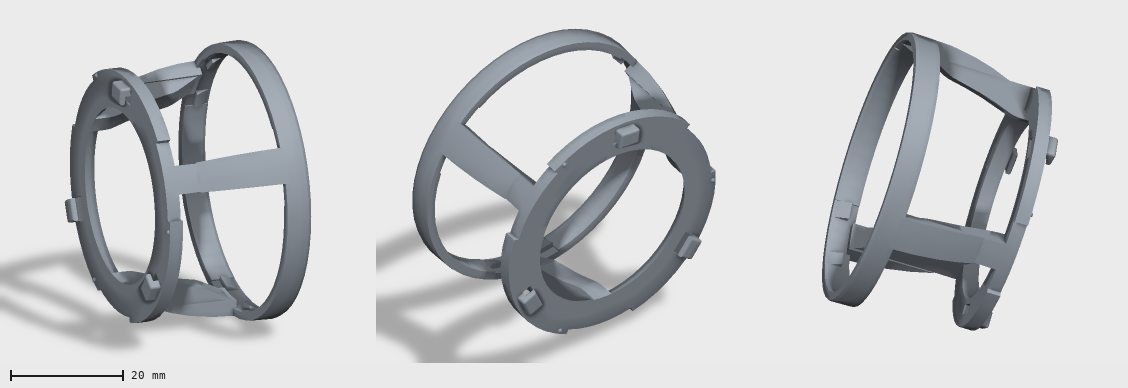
import cadquery as cq
import math

PLATE_BACK = 2.5
RING_FRONT = 21.75
RING_BACK = 26.3
HOOK_FRONT = -1.95

PLATE_RADIUS = 22.65
BORE_RADIUS = 15.85
BORE_FLARE = 1.6
NOTCH_RADIUS = 21.65
NOTCH_HALF_ANGLE = 18.8

RING_RADIUS = 24.9
RING_FRONT_RADIUS = 24.7
RING_STEP_RADIUS = 24.8
RELIEF_RADIUS = 23.35
RING_BORE_RADIUS = 23.05
RING_STEP_DEPTH = 0.7
RING_EDGE_DEPTH = 0.55
RING_EDGE_DROP = 0.2

BLOCK_RADIUS = 22.25
BLOCK_FRONT = RING_FRONT + 1.55
BLOCK_BACK = 25.9
BLOCK_START_ANGLE = 9.6
BLOCK_END_ANGLE = 17.5

LEG_HALF_ANGLE_PLATE = 7.0
LEG_HALF_ANGLE_RING = 7.5
RIB_HALF_ANGLE_RING = 6.0
LEG_BEND = 6.55
SHELL_INNER_RADIUS_RING = 21.9
RIB_FOOT_TOP = 2.65
RIB_ARC_START = (16.1, 4.55)
RIB_ARC_MIDDLE = (18.0, 10.65)
RIB_ARC_END = (19.25, 16.35)
RIB_KINK = (19.6, 17.25)

HOOK_OUTER_RADIUS = 21.75
HOOK_POST_INNER_RADIUS = 20.25
HOOK_TIP_RADIUS = 18.65
HOOK_WIDTH = 4.1
HOOK_LIP_THICKNESS = 0.95
HOOK_FILLET = 0.45
WINDOW_INNER_RADIUS = 18.45
WINDOW_WIDTH = 4.4

PIN_DIAMETER = 0.95
PIN_HEIGHT = 0.4
PIN_CIRCLE_RADIUS = 22.0

COUNT = 3
LEG_ANGLE = 22.5
HOOK_ANGLE = LEG_ANGLE + 60
PIN_ANGLE = LEG_ANGLE - 24

WEDGE_REACH = 29.85


def turned(solid, angle):
    """Turn a solid built along +X to the given angle about Y."""
    return solid.rotate((0, 0, 0), (0, 1, 0), -angle)


def around(solid, start_angle):
    """Copies of a solid spaced evenly about Y."""
    copies = turned(solid, start_angle)
    for index in range(1, COUNT):
        copies = copies.union(turned(solid, start_angle + index * 360 / COUNT))
    return copies


def tube(inner, outer, y_start, y_end):
    """Hollow cylinder along Y."""
    disc = cq.Workplane("XZ", origin=(0, y_start, 0)).circle(outer).circle(inner)
    return disc.extrude(y_start - y_end)


def wedge(half_angle_start, half_angle_end, y_start, y_end):
    """Triangular prism from the axis, centred on +X, whose angle may change along Y."""
    half_start = WEDGE_REACH * math.tan(math.radians(half_angle_start))
    half_end = WEDGE_REACH * math.tan(math.radians(half_angle_end))
    return (
        cq.Workplane("XZ", origin=(0, y_start, 0))
        .polyline([(0, 0), (WEDGE_REACH, -half_start), (WEDGE_REACH, half_start)])
        .close()
        .workplane(offset=y_start - y_end)
        .polyline([(0, 0), (WEDGE_REACH, -half_end), (WEDGE_REACH, half_end)])
        .close()
        .loft(ruled=True)
    )


def box_between(x_start, x_end, y_start, y_end, width):
    """Box spanning the given X and Y ranges, centred on Z = 0."""
    return cq.Workplane("XY").box(
        x_end - x_start, y_end - y_start, width, centered=(False, False, True)
    ).translate((x_start, y_start, 0))


def make_plate():
    plate = (
        cq.Workplane("XY")
        .moveTo(BORE_RADIUS, 0)
        .lineTo(PLATE_RADIUS, 0)
        .lineTo(PLATE_RADIUS, PLATE_BACK)
        .lineTo(BORE_RADIUS + BORE_FLARE, PLATE_BACK)
        .close()
        .revolve(360, (0, 0, 0), (0, 1, 0))
    )
    rim = tube(NOTCH_RADIUS, WEDGE_REACH, 0, PLATE_BACK)
    notch = rim.intersect(wedge(NOTCH_HALF_ANGLE, NOTCH_HALF_ANGLE, 0, PLATE_BACK))
    window = box_between(
        WINDOW_INNER_RADIUS, HOOK_POST_INNER_RADIUS, 0, PLATE_BACK, WINDOW_WIDTH
    )
    return plate.cut(around(notch, LEG_ANGLE)).cut(around(window, HOOK_ANGLE))


def make_ring():
    step_position = RING_FRONT + RING_STEP_DEPTH
    ring = (
        cq.Workplane("XY")
        .moveTo(RING_BORE_RADIUS, RING_FRONT)
        .lineTo(RING_FRONT_RADIUS, RING_FRONT)
        .lineTo(RING_STEP_RADIUS, step_position)
        .lineTo(RING_RADIUS, RING_BACK - RING_EDGE_DEPTH)
        .lineTo(RING_RADIUS - RING_EDGE_DROP, RING_BACK)
        .lineTo(RING_BORE_RADIUS + RING_EDGE_DROP, RING_BACK)
        .lineTo(RING_BORE_RADIUS, RING_BACK - RING_EDGE_DEPTH)
        .lineTo(RING_BORE_RADIUS, RING_FRONT)
        .close()
        .revolve(360, (0, 0, 0), (0, 1, 0))
    )
    relief = tube(BLOCK_RADIUS, RELIEF_RADIUS, RING_FRONT, RING_BACK)
    relief = relief.intersect(wedge(BLOCK_END_ANGLE, BLOCK_END_ANGLE, RING_FRONT, RING_BACK))
    return ring.cut(around(relief, LEG_ANGLE))


def make_blocks():
    root_radius = (RELIEF_RADIUS + RING_RADIUS) / 2
    band = (
        cq.Workplane("XY")
        .moveTo(BLOCK_RADIUS, BLOCK_FRONT)
        .lineTo(root_radius, BLOCK_FRONT)
        .lineTo(root_radius, BLOCK_BACK)
        .lineTo(RELIEF_RADIUS, BLOCK_BACK)
        .close()
        .revolve(360, (0, 0, 0), (0, 1, 0))
    )
    outer = wedge(BLOCK_END_ANGLE, BLOCK_END_ANGLE, BLOCK_FRONT, BLOCK_BACK)
    inner = wedge(BLOCK_START_ANGLE, BLOCK_START_ANGLE, BLOCK_FRONT, BLOCK_BACK)
    return around(band.intersect(outer).cut(inner), LEG_ANGLE)


def make_leg_shell():
    leg_end = RING_FRONT + RING_STEP_DEPTH
    length = leg_end - LEG_BEND
    drop = RING_STEP_RADIUS - NOTCH_RADIUS
    arc_radius = (length**2 + drop**2) / (2 * drop)
    half_sweep = math.asin(length / arc_radius) / 2
    arc_middle = (
        RING_STEP_RADIUS - arc_radius * (1 - math.cos(half_sweep)),
        leg_end - arc_radius * math.sin(half_sweep),
    )
    profile = (
        cq.Workplane("XY")
        .moveTo(NOTCH_RADIUS, LEG_BEND)
        .threePointArc(arc_middle, (RING_STEP_RADIUS, leg_end))
        .lineTo(SHELL_INNER_RADIUS_RING, leg_end)
        .close()
        .revolve(360, (0, 0, 0), (0, 1, 0))
    )
    return profile.intersect(
        wedge(LEG_HALF_ANGLE_PLATE, LEG_HALF_ANGLE_RING, 0, leg_end)
    )


def make_rib():
    foot_radius = (BORE_RADIUS + BORE_FLARE + NOTCH_RADIUS) / 2
    profile = (
        cq.Workplane("XY")
        .moveTo(BORE_RADIUS, 0)
        .lineTo(BORE_RADIUS, RIB_FOOT_TOP)
        .tangentArcPoint(RIB_ARC_START, relative=False)
        .threePointArc(RIB_ARC_MIDDLE, RIB_ARC_END)
        .lineTo(*RIB_KINK)
        .lineTo(SHELL_INNER_RADIUS_RING, RING_FRONT)
        .lineTo(NOTCH_RADIUS, LEG_BEND)
        .lineTo(NOTCH_RADIUS, PLATE_BACK)
        .lineTo(foot_radius, PLATE_BACK)
        .lineTo(foot_radius, 0)
        .close()
        .revolve(360, (0, 0, 0), (0, 1, 0))
    )
    return profile.intersect(
        wedge(LEG_HALF_ANGLE_PLATE, RIB_HALF_ANGLE_RING, 0, RING_FRONT)
    )


def make_hook():
    hook = box_between(HOOK_TIP_RADIUS, HOOK_OUTER_RADIUS, HOOK_FRONT, 0, HOOK_WIDTH)
    hook = hook.edges("<Y or (>X and |Y)").fillet(HOOK_FILLET)
    undercut = box_between(
        HOOK_TIP_RADIUS, HOOK_POST_INNER_RADIUS, HOOK_FRONT + HOOK_LIP_THICKNESS, 0, HOOK_WIDTH
    )
    root = box_between(
        HOOK_POST_INNER_RADIUS, HOOK_OUTER_RADIUS - HOOK_FILLET,
        0, PLATE_BACK / 2, HOOK_WIDTH - 2 * HOOK_FILLET,
    )
    return hook.cut(undercut).union(root)


def make_pin():
    pin_radius = PIN_DIAMETER / 2
    sphere_radius = (pin_radius**2 + PIN_HEIGHT**2) / (2 * PIN_HEIGHT)
    centre = (PIN_CIRCLE_RADIUS, sphere_radius - PIN_HEIGHT, 0)
    return cq.Workplane("XY").sphere(sphere_radius).translate(centre)


result = (
    make_plate()
    .union(make_ring())
    .union(make_blocks())
    .union(around(make_leg_shell().union(make_rib()), LEG_ANGLE))
    .union(around(make_hook(), HOOK_ANGLE))
    .union(around(make_pin(), PIN_ANGLE))
)